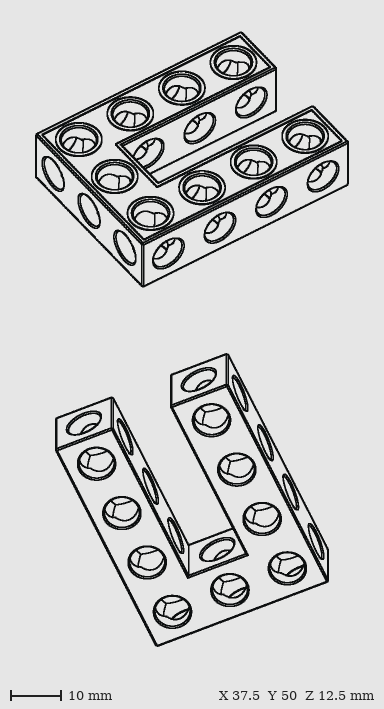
import cadquery as cq

pitch = 12.5
columns = 3
rows = 4
hole_diameter = 7.0
ring_diameter = 9.2
edge_chamfer = 0.3
hole_chamfer = 0.3
rim_width = 1.0
recess_depth = 0.2

width = columns * pitch
length = rows * pitch
height = pitch
slot_width = width - 2 * pitch
slot_length = length - pitch

column_centres = [(i - (columns - 1) / 2) * pitch for i in range(columns)]
row_centres = [(j - (rows - 1) / 2) * pitch for j in range(rows)]
mid_height = height / 2

cells = [
    (x, y)
    for x in column_centres
    for y in row_centres
    if abs(x) > slot_width / 2 or y == row_centres[0]
]


def u_prism(inset, bottom, thickness):
    """U-shaped prism whose outline is moved inward by inset on every side."""
    outer_x = width / 2 - inset
    outer_y = length / 2 - inset
    inner_x = slot_width / 2 + inset
    slot_end_y = length / 2 - slot_length - inset
    outline = [
        (-outer_x, -outer_y),
        (outer_x, -outer_y),
        (outer_x, outer_y),
        (inner_x, outer_y),
        (inner_x, slot_end_y),
        (-inner_x, slot_end_y),
        (-inner_x, outer_y),
        (-outer_x, outer_y),
    ]
    return cq.Workplane("XY", origin=(0, 0, bottom)).polyline(outline).close().extrude(thickness)


def make_body():
    """U-shaped block with every convex edge chamfered; the two inside slot corners stay sharp."""
    convex_edges = "(<Z or >Z) or ((<X or >X or >Y) and |Z)"
    return u_prism(0, 0, height).edges(convex_edges).chamfer(edge_chamfer)


def make_recess():
    """Shallow top recess inside the rim, leaving a round raised ring at every cell."""
    floor = height - recess_depth
    rings = cq.Workplane("XY", origin=(0, 0, floor)).pushPoints(cells)
    return u_prism(rim_width, floor, recess_depth).cut(rings.circle(ring_diameter / 2).extrude(recess_depth))


def make_hole(centre, axis, depth):
    """Cutter for a through hole of the given depth, flared at both mouths."""
    half = depth / 2
    radius = hole_diameter / 2
    mouth_radius = radius + hole_chamfer
    profile = [
        (0, -half),
        (mouth_radius, -half),
        (radius, -half + hole_chamfer),
        (radius, half - hole_chamfer),
        (mouth_radius, half),
        (0, half),
    ]
    hole = cq.Workplane("XY").polyline(profile).close().revolve(360, (0, 0, 0), (0, 1, 0))
    if axis == "X":
        hole = hole.rotate((0, 0, 0), (0, 0, 1), 90)
    if axis == "Z":
        hole = hole.rotate((0, 0, 0), (1, 0, 0), 90)
    return hole.translate(centre)


def make_holes():
    """All hole cutters: vertical through each cell, and along X and Y at mid height."""
    base_y = row_centres[0]
    vertical = [make_hole((x, y, mid_height), "Z", height) for x, y in cells]
    along_base = [make_hole((0, base_y, mid_height), "X", width)]
    across_arms = [make_hole((x, y, mid_height), "X", pitch) for x, y in cells if y != base_y]
    along_arms = [make_hole((x, 0, mid_height), "Y", length) for x in column_centres if x != 0]
    across_base = [make_hole((0, base_y, mid_height), "Y", pitch)]
    return vertical + along_base + across_arms + along_arms + across_base


result = make_body().cut(make_recess())
for hole_cutter in make_holes():
    result = result.cut(hole_cutter)